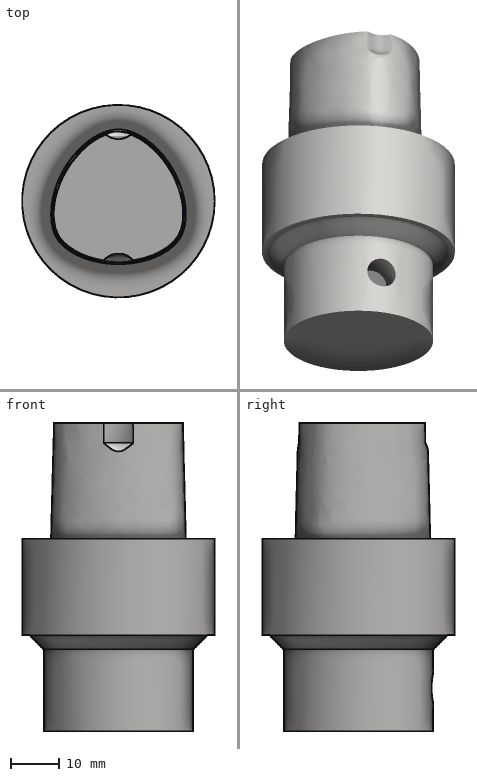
import cadquery as cq
import math

collar_diameter = 39.98
collar_height = 20.0
shank_diameter = 31.0
shank_height = 17.0
flare_height = 3.0

polygon_mean_diameter = 28.0
polygon_eccentricity = 0.9
polygon_height = 24.0
polygon_taper = 1 / 20
curve_points = 72

groove_diameter = 7.8
groove_depth = 4.15
lobe_groove_y = 16.75
flat_groove_y = -14.75

screw_hole_diameter = 6.2
screw_hole_depth = 6.5
screw_hole_z = 9.0

collar_bottom = shank_height + flare_height
collar_top = collar_bottom + collar_height
part_top = collar_top + polygon_height


def turned_body():
    """Shank, flare and collar as one revolved profile."""
    shank_radius = shank_diameter / 2
    collar_radius = collar_diameter / 2
    profile = [
        (0, 0),
        (shank_radius, 0),
        (shank_radius, shank_height),
        (shank_radius + flare_height, collar_bottom),
        (collar_radius, collar_bottom),
        (collar_radius, collar_top),
        (0, collar_top),
    ]
    return cq.Workplane("XZ").polyline(profile).close().revolve(360, (0, 0), (0, 1))


def polygon_wire(mean_diameter, z):
    """Constant-width three-lobed curve with one lobe pointing to +Y."""
    radius = mean_diameter / 2
    e = polygon_eccentricity

    def point(t):
        angle = 2 * math.pi * t
        along = radius * math.cos(angle) + 2 * e * math.cos(2 * angle) - e * math.cos(4 * angle)
        across = radius * math.sin(angle) - 2 * e * math.sin(2 * angle) - e * math.sin(4 * angle)
        return (-across, along, z)

    points = [cq.Vector(*point(i / curve_points)) for i in range(curve_points)]
    return cq.Wire.assembleEdges([cq.Edge.makeSpline(points, periodic=True)])


def polygon_taper_shank():
    """Ruled loft between the base and top polygons."""
    top_mean_diameter = polygon_mean_diameter - polygon_taper * polygon_height
    base = polygon_wire(polygon_mean_diameter, collar_top)
    top = polygon_wire(top_mean_diameter, part_top)
    return cq.Workplane(cq.Solid.makeLoft([base, top], True))


def groove_cutter(y):
    """Vertical cylinder with a 45 degree conical tip."""
    radius = groove_diameter / 2
    profile = [
        (0, part_top),
        (radius, part_top),
        (radius, part_top - groove_depth),
        (0, part_top - groove_depth - radius),
    ]
    cutter = cq.Workplane("XZ").polyline(profile).close().revolve(360, (0, 0), (0, 1))
    return cutter.translate((0, y, 0))


def screw_hole_cutter():
    """Blind radial hole entering the shank from +Y."""
    bottom_y = shank_diameter / 2 - screw_hole_depth
    hole = cq.Workplane("XZ", origin=(0, bottom_y, screw_hole_z)).circle(screw_hole_diameter / 2)
    return hole.extrude(-screw_hole_depth)


result = turned_body().union(polygon_taper_shank())
for groove_y in (lobe_groove_y, flat_groove_y):
    result = result.cut(groove_cutter(groove_y))
result = result.cut(screw_hole_cutter())